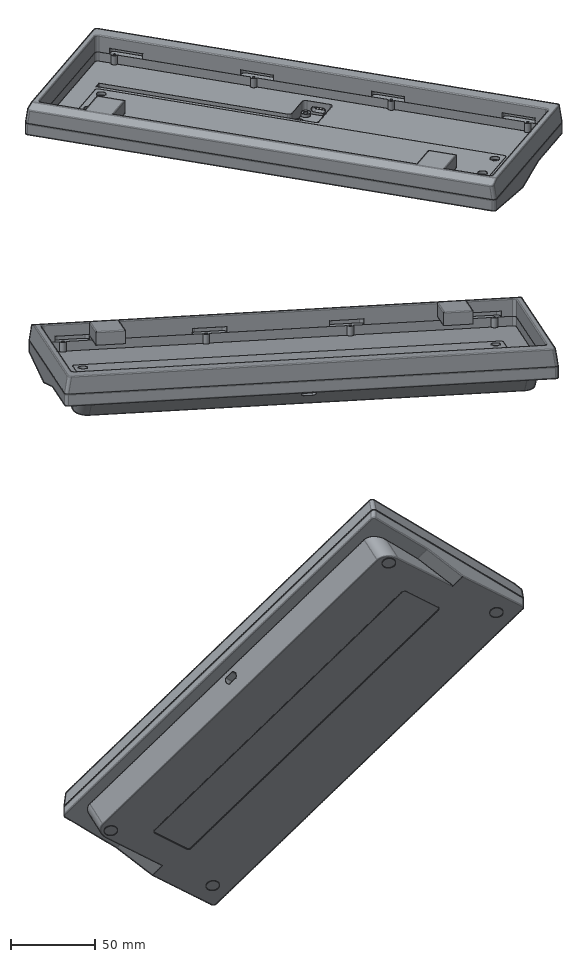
import cadquery as cq
import math

length = 297.7
width = 114.3
top_z = 30.0
seam_z = 19.0
floor_z = 13.0
rim_z = 11.45
half_length = length / 2
half_width = width / 2
corner_radius = 2.0
top_round = 0.5
bottom_round = 0.5

cavity_length = 286.5
cavity_width = 96.5

frame_side_lean = 1.8
bevel_depth = 7.0
bevel_drop = 2.23
bevel_round = 2.0
tab_inner_x = 96.0
tab_outer_x = 113.7
tab_back_y = -28.5
tab_thickness = 8.3
slot_count = 4
slot_spacing = 82.8
slot_length = 20.8
slot_height = 3.5
slot_depth = 4.2

apex_y = 40.5
wedge_back_y = 50.3
wedge_length = 278.5
wedge_corner_radius = 8.0
side_ramp_start_y = 16.5
side_ramp_end_y = -10.5
bottom_slope = rim_z / (apex_y + half_width)

boss_diameter = 4.2
boss_hole_diameter = 1.65
boss_inset = 0.3
boss_hole_depth = 4.2
front_boss_x = (-130.5, -43.5, 43.5, 129.8)
back_boss_x = (-131.5, -43.5, 43.5, 129.8)

pocket_length = 18.8
pocket_front_y = 15.5
pocket_back_y = 41.5
pocket_floor_z = 4.8
pocket_radius = 2.0
groove_left_x = -130.7
groove_deep_left_x = -15.8
groove_deep_radius = 1.2
groove_width = 4.8
groove_depth = 4.2
standoff_x = 6.8
standoff_front_y = 26.2
standoff_back_y = 38.5
standoff_diameter = 5.7
standoff_hole_diameter = 2.53
standoff_height = 2.0
port_length = 9.0
port_height = 3.3
port_z = 8.0
port_overlap = 1.5

plate_length = 259.5
plate_width = 32.5
plate_center_y = -3.3
plate_thickness = 4.2
plate_radius = 1.8
window_length = 240.5
window_width = 27.5
window_center_y = -2.0
weight_recess = 1.0
screw_x = 124.5
screw_spacing_y = 20.8
screw_head_diameter = 5.7
screw_head_depth = 2.0
screw_hole_diameter = 2.53

foot_diameter = 8.0
foot_depth = 0.45
front_foot = (135.8, -45.8)
back_foot = (133.0, 33.0)

clearance = 3.0


def bottom_z(y):
    """Height of the sloped underside at depth y."""
    return bottom_slope * (apex_y - y)


def block(x0, x1, y0, y1, z0, z1):
    box = cq.Workplane("XY").box(x1 - x0, y1 - y0, z1 - z0, centered=False)
    return box.translate((x0, y0, z0))


def rounded_block(size_x, size_y, center_y, z0, z1, radius):
    slab = cq.Workplane("XY").box(size_x, size_y, z1 - z0, centered=(True, True, False))
    return slab.edges("|Z").fillet(radius).translate((0, center_y, z0))


def cylinder(x, y, z0, z1, diameter):
    return cq.Workplane("XY", origin=(x, y, z0)).circle(diameter / 2).extrude(z1 - z0)


def along_x(points, size_x):
    """Prism along X from a (y, z) outline, centred on x = 0."""
    return cq.Workplane("YZ").polyline(points).close().extrude(size_x / 2, both=True)


def make_cavity(z0, z1):
    return rounded_block(cavity_length, cavity_width, 0, z0, z1, corner_radius)


def add_frame_tabs(frame):
    front_y = -cavity_width / 2 - 2 * top_round
    for side in (-1, 1):
        x0, x1 = sorted((side * tab_inner_x, side * tab_outer_x))
        frame = frame.union(block(x0, x1, front_y, tab_back_y, top_z - tab_thickness, top_z))
    return frame


def cut_frame_slots(frame):
    for index in range(slot_count):
        x = (index - (slot_count - 1) / 2) * slot_spacing
        for side in (-1, 1):
            wall_y = side * cavity_width / 2
            slot_top = seam_z + slot_height
            slot = rounded_block(slot_length, 2 * slot_depth, wall_y, seam_z, slot_top, corner_radius)
            frame = frame.cut(slot.translate((x, 0, 0)))
    return frame


def make_frame():
    bevel_start_y = bevel_depth - half_width
    bevel_end_z = top_z - bevel_drop
    side = along_x(
        [
            (-half_width, seam_z),
            (half_width, seam_z),
            (half_width, top_z),
            (bevel_start_y, top_z),
            (-half_width, bevel_end_z),
        ],
        length,
    )
    bevel_edge = cq.selectors.NearestToPointSelector((0, bevel_start_y, top_z))
    side = side.edges(bevel_edge).fillet(bevel_round)
    top_x = half_length - frame_side_lean
    ends = (
        cq.Workplane("XZ")
        .polyline([(-half_length, seam_z), (half_length, seam_z), (top_x, top_z), (-top_x, top_z)])
        .close()
        .extrude(half_width, both=True)
    )
    frame = side.intersect(ends)
    near = 0.3
    front_corners = cq.selectors.BoxSelector(
        (-length, -half_width - near, seam_z + near), (length, -half_width + near, bevel_end_z - near)
    )
    back_corners = cq.selectors.BoxSelector(
        (-length, half_width - near, seam_z + near), (length, half_width + near, top_z - near)
    )
    upright = frame.edges("(not #Z) and (not |X) and (not |Y)")
    frame = upright.edges(front_corners + back_corners).fillet(corner_radius)
    frame = add_frame_tabs(frame.cut(make_cavity(seam_z, top_z)))
    frame = frame.faces(">Z").edges().fillet(top_round)
    return cut_frame_slots(frame)


def make_case_shell():
    """Solid outer shape of the case: shallow shell with a wedge below it."""
    shell = along_x(
        [
            (-half_width, seam_z),
            (-half_width, rim_z),
            (side_ramp_end_y, bottom_z(side_ramp_end_y)),
            (side_ramp_start_y, rim_z),
            (half_width, rim_z),
            (half_width, seam_z),
        ],
        length,
    )
    shell = shell.edges("|Z").fillet(corner_radius)
    underside = shell.faces("(not #Z) and (not >Z)")
    shell = underside.edges("(not |X) or <Y or >Y").fillet(bottom_round)
    wedge = along_x(
        [
            (side_ramp_end_y, rim_z),
            (side_ramp_end_y, bottom_z(side_ramp_end_y)),
            (apex_y, 0),
            (wedge_back_y, rim_z),
        ],
        wedge_length,
    )
    wedge = wedge.faces(">Y").edges("not |X").fillet(wedge_corner_radius)
    wedge = wedge.faces("<Z").edges("not <Y").fillet(bottom_round)
    return shell.union(wedge).clean()


def add_bosses(case):
    for side, places in ((-1, front_boss_x), (1, back_boss_x)):
        y = side * (cavity_width / 2 + boss_inset)
        for x in places:
            case = case.union(cylinder(x, y, floor_z, seam_z, boss_diameter))
            case = case.cut(cylinder(x, y, seam_z - boss_hole_depth, seam_z, boss_hole_diameter))
    return case


def cut_pocket(case):
    """Connector pocket with four standoffs, its cable groove and the port through the back."""
    pocket_width = pocket_back_y - pocket_front_y
    pocket_center_y = (pocket_front_y + pocket_back_y) / 2
    pocket = rounded_block(
        pocket_length, pocket_width, pocket_center_y, pocket_floor_z, floor_z, pocket_radius
    )
    groove_back_y = pocket_front_y + groove_width
    groove_center_y = pocket_front_y + groove_width / 2
    groove = block(groove_left_x, 0, pocket_front_y, groove_back_y, floor_z - groove_depth, floor_z)
    deep_end = rounded_block(
        -2 * groove_deep_left_x, groove_width, groove_center_y, pocket_floor_z, floor_z, groove_deep_radius
    )
    deep_end = deep_end.intersect(block(groove_deep_left_x, 0, 0, half_width, 0, top_z))
    pocket = pocket.union(deep_end).union(groove)
    inner_corner = cq.selectors.NearestToPointSelector(
        (-pocket_length / 2, groove_back_y, floor_z - groove_depth / 2)
    )
    pocket = pocket.edges("|Z").edges(inner_corner).fillet(pocket_radius)
    standoff_top = pocket_floor_z + standoff_height
    for x in (-standoff_x, standoff_x):
        for y in (standoff_front_y, standoff_back_y):
            pocket = pocket.cut(cylinder(x, y, pocket_floor_z, standoff_top, standoff_diameter))
            pocket = pocket.union(cylinder(x, y, pocket_floor_z, standoff_top, standoff_hole_diameter))
    port = (
        cq.Workplane("XZ", origin=(0, half_width, port_z))
        .slot2D(port_length, port_height)
        .extrude(half_width - pocket_back_y + port_overlap)
    )
    return case.cut(pocket).cut(port)


def make_plate():
    return rounded_block(
        plate_length, plate_width, plate_center_y, floor_z - plate_thickness, floor_z, plate_radius
    )


def make_window(z0):
    """Prism of the opening below the plate, from z0 up to the floor."""
    return rounded_block(window_length, window_width, window_center_y, z0, floor_z, plate_radius)


def cut_weight_seat(case):
    return case.cut(make_plate()).cut(make_window(-clearance))


def cut_feet(case):
    tilt = math.degrees(math.atan(bottom_slope))
    for x, y in (front_foot, back_foot):
        for side in (-1, 1):
            foot = cylinder(0, 0, -clearance, foot_depth, foot_diameter)
            foot = foot.rotate((0, 0, 0), (1, 0, 0), -tilt)
            case = case.cut(foot.translate((side * x, y, bottom_z(y))))
    return case


def make_case():
    case = make_case_shell().cut(make_cavity(floor_z, seam_z))
    case = add_bosses(case)
    case = cut_pocket(case)
    case = cut_weight_seat(case)
    return cut_feet(case)


def make_weight():
    """Screwed-down plate with a thick middle that fills the window in the case bottom."""
    below = along_x(
        [
            (-half_width, -clearance),
            (-half_width, bottom_z(-half_width) + weight_recess),
            (apex_y, weight_recess),
            (apex_y, -clearance),
        ],
        length,
    )
    weight = make_plate().union(make_window(0).cut(below))
    for x in (-screw_x, screw_x):
        for side in (-1, 1):
            y = plate_center_y + side * screw_spacing_y / 2
            weight = weight.cut(cylinder(x, y, floor_z - plate_thickness, floor_z, screw_hole_diameter))
            weight = weight.cut(cylinder(x, y, floor_z - screw_head_depth, floor_z, screw_head_diameter))
    return weight


frame = make_frame()
case = make_case()
weight = make_weight()
result = cq.Compound.makeCompound([frame.val(), case.val(), weight.val()])